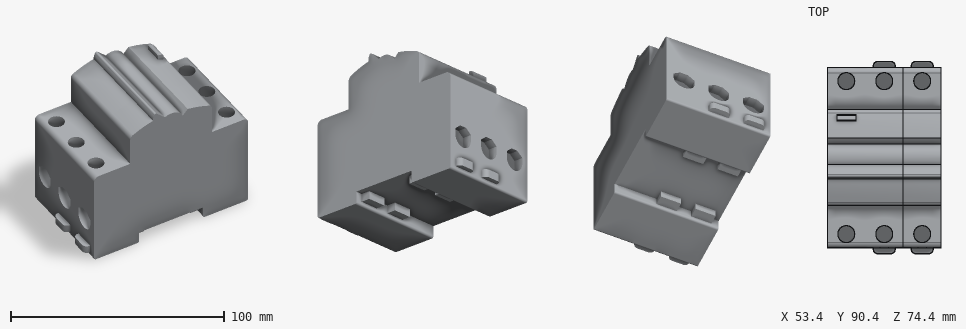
import cadquery as cq

POLE_COUNT = 3
POLE_WIDTH = 17.8
SHARED_POLES = 2
HOUSING_HALF = 42.3
SHOULDER_Z = 49.95
TOWER_HALF = 22.5
SHOULDER_FILLET = 2.5
FOOT_FILLET = 1.0
TOWER_FILLET = 2.5

SLOT_HALF = 17.6
SLOT_HEIGHT = 6.1

BACK_CORNER = (TOWER_HALF, 66.0)
BACK_CROWN_MID = (16.3, 68.2)
BACK_CROWN_END = (9.1, 69.7)
NOTCH_BOTTOM = (6.3, 66.75)
HUMP_TOP = (0.0, 70.9)
HUMP_END = (-3.3, 70.0)
LEVER_TIP_START = (-7.95, 74.2)
LEVER_TIP_MID = (-8.6, 74.4)
LEVER_TIP_END = (-9.3, 73.8)
LEVER_FACE_MID = (-9.8, 72.4)
LEVER_FOOT = (-9.9, 70.7)
FRONT_CROWN_MID = (-16.3, 68.8)
FRONT_CORNER = (-TOWER_HALF, 66.0)

SCREW_DIAMETER = 7.95
SCREW_Y = 35.9
SCREW_DEPTH = 18.1
WIRE_WIDTH = 10.75
WIRE_TOP_FLAT = 4.1
WIRE_SLANT_HEIGHT = 2.5
WIRE_BOTTOM_Z = 13.5
WIRE_DEPTH = 5.0

CLIP_TIP = 45.2
CLIP_SLOT_REACH = 4.9
CLIP_INNER = SLOT_HALF - CLIP_SLOT_REACH
CLIP_WIDTH = 10.4
CLIP_THICKNESS = 4.0
CLIP_FILLET = 2.35

TAB_WIDTH = 8.9
TAB_BACK_Y = 20.2
TAB_FRONT_Y = 17.25
TAB_BACK_Z = 69.7
TAB_FRONT_Z = 70.8
TAB_CHAMFER = 0.45
TAB_ROOT_Z = 65.0

FIRST_SIDE_X = -POLE_COUNT * POLE_WIDTH / 2


def pole_center(pole):
    return FIRST_SIDE_X + (pole + 0.5) * POLE_WIDTH


def block(first_pole, pole_count):
    """Plain housing block: the side outline extruded over the given poles, edges rounded."""
    start_x = FIRST_SIDE_X + first_pole * POLE_WIDTH
    length = pole_count * POLE_WIDTH
    body = (
        cq.Workplane("YZ", origin=(start_x, 0, 0))
        .moveTo(SLOT_HALF, 0)
        .lineTo(HOUSING_HALF, 0)
        .lineTo(HOUSING_HALF, SHOULDER_Z)
        .lineTo(TOWER_HALF, SHOULDER_Z)
        .lineTo(*BACK_CORNER)
        .threePointArc(BACK_CROWN_MID, BACK_CROWN_END)
        .lineTo(*NOTCH_BOTTOM)
        .threePointArc(HUMP_TOP, HUMP_END)
        .lineTo(*LEVER_TIP_START)
        .threePointArc(LEVER_TIP_MID, LEVER_TIP_END)
        .threePointArc(LEVER_FACE_MID, LEVER_FOOT)
        .threePointArc(FRONT_CROWN_MID, FRONT_CORNER)
        .lineTo(-TOWER_HALF, SHOULDER_Z)
        .lineTo(-HOUSING_HALF, SHOULDER_Z)
        .lineTo(-HOUSING_HALF, 0)
        .lineTo(-SLOT_HALF, 0)
        .lineTo(-SLOT_HALF, SLOT_HEIGHT)
        .lineTo(SLOT_HALF, SLOT_HEIGHT)
        .close()
        .extrude(length)
    )

    def round_edges(solid, points, radius):
        for y, z in points:
            edge_middle = (start_x + length / 2, y, z)
            nearest = cq.selectors.NearestToPointSelector(edge_middle)
            solid = solid.edges("|X").edges(nearest).fillet(radius)
        return solid

    shoulders = [(side * HOUSING_HALF, SHOULDER_Z) for side in (-1, 1)]
    feet = [(side * y, 0) for side in (-1, 1) for y in (SLOT_HALF, HOUSING_HALF)]
    body = round_edges(body, shoulders, SHOULDER_FILLET)
    body = round_edges(body, feet, FOOT_FILLET)
    return round_edges(body, [BACK_CORNER, FRONT_CORNER], TOWER_FILLET)


def screw_holes(pole):
    """Round blind holes in the two shoulders of one pole."""
    return (
        cq.Workplane("XY", origin=(pole_center(pole), 0, SHOULDER_Z))
        .pushPoints([(0, SCREW_Y), (0, -SCREW_Y)])
        .circle(SCREW_DIAMETER / 2)
        .extrude(-SCREW_DEPTH)
    )


def wire_openings(pole):
    """Blind wire openings, round below and slanted above, in the front and back of one pole."""
    radius = WIRE_WIDTH / 2
    top_z = WIRE_BOTTOM_Z + WIRE_WIDTH
    side_top_z = top_z - WIRE_SLANT_HEIGHT
    front = (
        cq.Workplane("XZ", origin=(pole_center(pole), -HOUSING_HALF, 0))
        .moveTo(-radius, WIRE_BOTTOM_Z + radius)
        .threePointArc((0, WIRE_BOTTOM_Z), (radius, WIRE_BOTTOM_Z + radius))
        .lineTo(radius, side_top_z)
        .lineTo(WIRE_TOP_FLAT / 2, top_z)
        .lineTo(-WIRE_TOP_FLAT / 2, top_z)
        .lineTo(-radius, side_top_z)
        .close()
        .extrude(-WIRE_DEPTH)
    )
    return front.union(front.mirror("XZ"))


def clips(pole):
    """Front and back rail clips of one pole, from the slot to beyond the housing."""
    length = CLIP_TIP - CLIP_INNER
    back = (
        cq.Workplane("XY", origin=(pole_center(pole), CLIP_INNER + length / 2, SLOT_HEIGHT))
        .rect(CLIP_WIDTH, length)
        .extrude(-CLIP_THICKNESS)
        .edges("|Z and >Y")
        .fillet(CLIP_FILLET)
    )
    return back.union(back.mirror("XZ"))


def indicator_tab(pole):
    """Small tab with a slanted, chamfered top standing on the back of the crown."""
    return (
        cq.Workplane("YZ", origin=(pole_center(pole), 0, 0))
        .moveTo(TAB_BACK_Y, TAB_ROOT_Z)
        .lineTo(TAB_FRONT_Y, TAB_ROOT_Z)
        .lineTo(TAB_FRONT_Y, TAB_FRONT_Z)
        .lineTo(TAB_BACK_Y, TAB_BACK_Z)
        .close()
        .extrude(TAB_WIDTH / 2, both=True)
        .faces(">Z")
        .edges("|X")
        .chamfer(TAB_CHAMFER)
    )


def pole_unit(first_pole, pole_count):
    """Housing block with the terminals of its poles; every pole but the first has clips."""
    body = block(first_pole, pole_count)
    for pole in range(first_pole, first_pole + pole_count):
        body = body.cut(screw_holes(pole)).cut(wire_openings(pole))
        if pole > 0:
            body = body.union(clips(pole))
    return body


main_unit = pole_unit(0, SHARED_POLES).union(indicator_tab(0))

side_unit = pole_unit(SHARED_POLES, POLE_COUNT - SHARED_POLES)

result = cq.Compound.makeCompound([main_unit.solids().val(), side_unit.solids().val()])